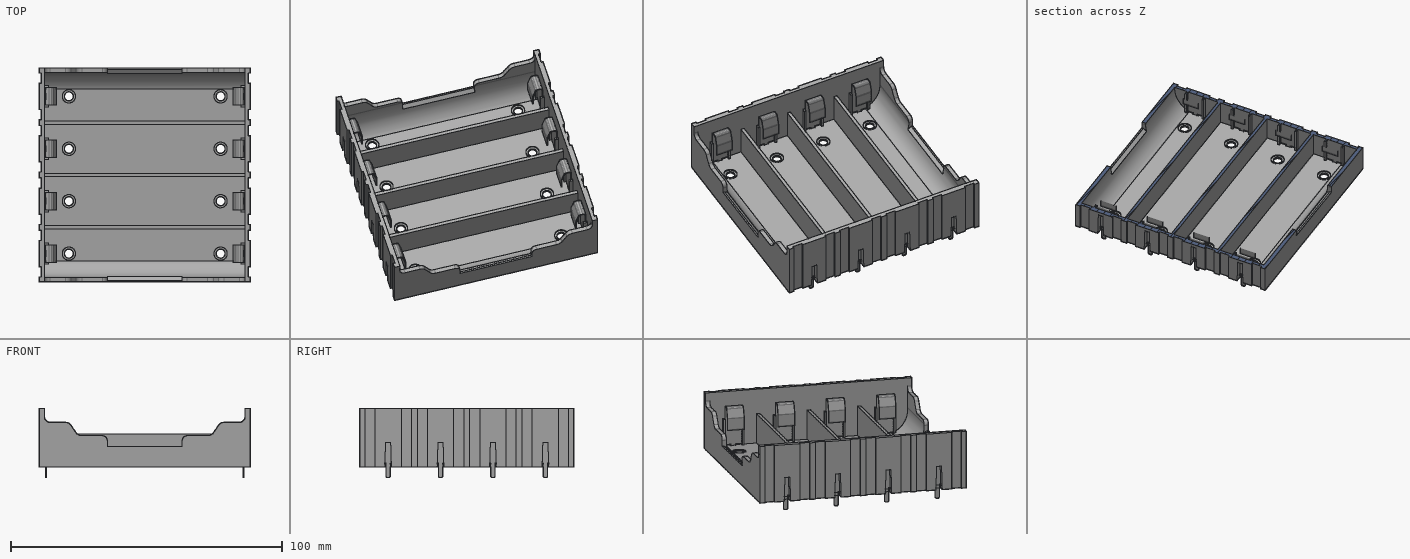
import cadquery as cq
import math

length = 77.7
width = 78.7
height = 21.65
end_wall = 2.05
side_wall = 1.65
floor = 1.1
eps = 0.8
pick_margin = 0.1
arc_middle = math.radians(45)

cell_count = 4
cell_pitch = 19.3
partition_thickness = 1.25
partition_top = 12.3
cradle_radius = 8.8
cradle_offset = 2.75

shelf_z = 16.5
low_edge_z = 11.6
slope_top_x = 27.85
slope_bottom_x = 24.5
slope_radius = 2.5
shelf_radius = 2.0
notch_half = 13.8
notch_z = 7.6
notch_radius = 1.8
notch_lip = 0.6
notch_bevel_angle = 33.0

groove_depth = 0.7
groove_width = 3.7
groove_offset = 6.7

hole_inset = 10.9
hole_diameter = 3.2
counterbore_diameter = 4.9
counterbore_depth = 0.4

sheet = 0.4
contact_width = 6.4
leg_depth = 2.4
leg_width = 1.65
leg_length = 3.85
leg_tip_chamfer = 0.4
leg_shoulder_z = 1.5
crest_z = 16.45
crest_radius = 1.25
brow_depth = 4.6
brow_z = 16.2
slant_depth = 5.1
slant_z = 15.8
nose_depth = 6.4
nose_z = 12.4
tail_z = 7.9

slot_top_z = 9.05
slot_top_width = 1.9
slot_bottom_width = 2.45
rail_depth = 3.5
rail_width = 0.7
rail_top = 11.4

half_length = length / 2
half_width = width / 2
cell_axes = [(i - (cell_count - 1) / 2) * cell_pitch for i in range(cell_count)]
partition_axes = [y + cell_pitch / 2 for y in cell_axes[:-1]]
inside_length = length - 2 * end_wall
inside_half_width = half_width - side_wall
cradle_axis_z = floor + math.sqrt(cradle_radius**2 - cradle_offset**2)
cradle_top_z = cradle_axis_z + math.sqrt(cradle_radius**2 - (inside_half_width - cell_axes[-1]) ** 2)


def with_opposite(shape):
    """The shape and its copy turned half round Z, at the opposite end or side."""
    return [shape, shape.rotate((0, 0, 0), (0, 0, 1), 180)]


def box(x_range, y_range, z_range):
    """An axis-aligned block between the given limits."""
    size = [high - low for low, high in (x_range, y_range, z_range)]
    corner = (x_range[0], y_range[0], z_range[0])
    return cq.Workplane("XY").box(*size, centered=False).translate(corner)


def tray_cavity():
    """Inside of the tray: flat floor curving up into both side walls."""
    flat_edge = cell_axes[-1] + cradle_offset
    mid_y = cell_axes[-1] + cradle_radius * math.cos(arc_middle)
    mid_z = cradle_axis_z - cradle_radius * math.sin(arc_middle)
    return (
        cq.Workplane("YZ", origin=(-inside_length / 2, 0, 0))
        .moveTo(-inside_half_width, height + eps)
        .lineTo(-inside_half_width, cradle_top_z)
        .threePointArc((-mid_y, mid_z), (-flat_edge, floor))
        .lineTo(flat_edge, floor)
        .threePointArc((mid_y, mid_z), (inside_half_width, cradle_top_z))
        .lineTo(inside_half_width, height + eps)
        .close()
        .extrude(inside_length)
    )


def rounded_step(cutter, x, z, radius):
    """Fillet the cutter edges running along Y at +x and -x, at height z."""
    for side in (-1, 1):
        edge_picker = cq.selectors.BoxSelector(
            (side * x - pick_margin, -width, z - pick_margin),
            (side * x + pick_margin, width, z + pick_margin),
        )
        cutter = cutter.edges(edge_picker).fillet(radius)
    return cutter


def side_wall_opening():
    """Cutter that lowers both side walls to their stepped outline."""
    half = [
        (inside_length / 2, height + eps),
        (inside_length / 2, shelf_z),
        (slope_top_x, shelf_z),
        (slope_bottom_x, low_edge_z),
        (notch_half, low_edge_z),
        (notch_half, notch_z),
    ]
    mirrored = [(-x, z) for x, z in reversed(half)]
    cutter = (
        cq.Workplane("XZ")
        .polyline(half + mirrored)
        .close()
        .extrude(half_width + eps, both=True)
    )
    cutter = rounded_step(cutter, inside_length / 2, shelf_z, shelf_radius)
    cutter = rounded_step(cutter, slope_top_x, shelf_z, slope_radius)
    cutter = rounded_step(cutter, slope_bottom_x, low_edge_z, slope_radius)
    return rounded_step(cutter, notch_half, low_edge_z, notch_radius)


def notch_bevels():
    """Wedges that slope the notch edge of each side wall down towards the inside."""
    run = side_wall + eps - notch_lip
    drop = run * math.tan(math.radians(notch_bevel_angle))
    outer_y = half_width - notch_lip
    wedge = (
        cq.Workplane("YZ", origin=(-notch_half, 0, 0))
        .polyline([(outer_y, notch_z), (outer_y - run, notch_z), (outer_y - run, notch_z - drop)])
        .close()
        .extrude(2 * notch_half)
    )
    return with_opposite(wedge)


def partition(y):
    """Wall between two neighbouring cells."""
    half = partition_thickness / 2
    return box((-half_length + end_wall, half_length - end_wall), (y - half, y + half), (0, partition_top))


def groove(y):
    """Upright groove in the outside of the -X end wall."""
    half = groove_width / 2
    return box(
        (-half_length - eps, -half_length + groove_depth), (y - half, y + half), (-eps, height + eps)
    )


def rail(y, side):
    """Upright rail on the inside of the -X end wall, against one edge of a contact."""
    inner_y = y + side * contact_width / 2
    outer_y = inner_y + side * rail_width
    return box(
        (-half_length + end_wall, -half_length + rail_depth),
        (min(inner_y, outer_y), max(inner_y, outer_y)),
        (0, rail_top),
    )


def contact_slot(y):
    """Tapered slot through the -X end wall, up to the outer face of the contact leg."""
    return (
        cq.Workplane("YZ", origin=(-half_length, y, 0))
        .polyline([
            (-slot_bottom_width / 2, 0),
            (slot_bottom_width / 2, 0),
            (slot_top_width / 2, slot_top_z),
            (-slot_top_width / 2, slot_top_z),
        ])
        .close()
        .extrude(leg_depth)
    )


def leg_hole(y):
    """Hole in the floor that the contact leg fills."""
    outer_x = -half_length + leg_depth
    half = leg_width / 2
    return box((outer_x, outer_x + sheet), (y - half, y + half), (-eps, floor + eps))


def floor_holes():
    """Counterbored hole near each end of every cell."""
    hole_x = half_length - hole_inset
    places = [(x, y) for x in (-hole_x, hole_x) for y in cell_axes]
    through = (
        cq.Workplane("XY", origin=(0, 0, -eps))
        .pushPoints(places)
        .circle(hole_diameter / 2)
        .extrude(floor + 2 * eps)
    )
    recess = (
        cq.Workplane("XY", origin=(0, 0, floor - counterbore_depth))
        .pushPoints(places)
        .circle(counterbore_diameter / 2)
        .extrude(counterbore_depth)
    )
    return [through, recess]


def make_housing():
    body = cq.Workplane("XY").box(length, width, height, centered=(True, True, False))
    body = body.cut(tray_cavity()).cut(side_wall_opening())
    for bevel in notch_bevels():
        body = body.cut(bevel)
    for y in partition_axes:
        body = body.union(partition(y))
    for y in cell_axes:
        for side in (-1, 1):
            for one_rail in with_opposite(rail(y, side)):
                body = body.union(one_rail)
            for one_groove in with_opposite(groove(y + side * groove_offset)):
                body = body.cut(one_groove)
        for opening in with_opposite(contact_slot(y)) + with_opposite(leg_hole(y)):
            body = body.cut(opening)
    for hole in floor_holes():
        body = body.cut(hole)
    return body


def spring_strip(y):
    """Full-width strip: up from below the leg tip, over the crest and down the sprung front."""
    mid_x = -half_length + leg_depth + sheet / 2
    bend = crest_radius - sheet / 2
    crest_mid_z = crest_z - sheet / 2
    bend_start_z = crest_mid_z - bend
    bend_x = mid_x + bend * (1 - math.cos(arc_middle))
    bend_z = bend_start_z + bend * math.sin(arc_middle)
    nose_x = -half_length + nose_depth - sheet / 2
    centre_line = (
        cq.Workplane("XZ", origin=(0, y + contact_width / 2, 0))
        .moveTo(mid_x, -leg_length - eps)
        .lineTo(mid_x, bend_start_z)
        .threePointArc((bend_x, bend_z), (mid_x + bend, crest_mid_z))
        .lineTo(-half_length + brow_depth, brow_z)
        .tangentArcPoint((-half_length + slant_depth, slant_z), relative=False)
        .lineTo(nose_x, nose_z)
        .lineTo(nose_x, tail_z + sheet / 2)
    )
    return centre_line.offset2D(sheet / 2).extrude(contact_width)


def strip_outline(y):
    """Block the strip is trimmed to: full width above the shoulder, a narrow leg below it."""
    x_range = (-half_length, 0)
    half = contact_width / 2
    leg_half = leg_width / 2
    upper = box(x_range, (y - half, y + half), (leg_shoulder_z, crest_z + eps))
    leg = box(x_range, (y - leg_half, y + leg_half), (-leg_length, leg_shoulder_z))
    return upper.union(leg.faces("<Z").edges("|X").chamfer(leg_tip_chamfer))


def make_contact(y):
    return spring_strip(y).intersect(strip_outline(y))


housing = make_housing()
contacts = [contact for y in cell_axes for contact in with_opposite(make_contact(y))]

result = cq.Compound.makeCompound([housing.solids().val(), *[contact.solids().val() for contact in contacts]])